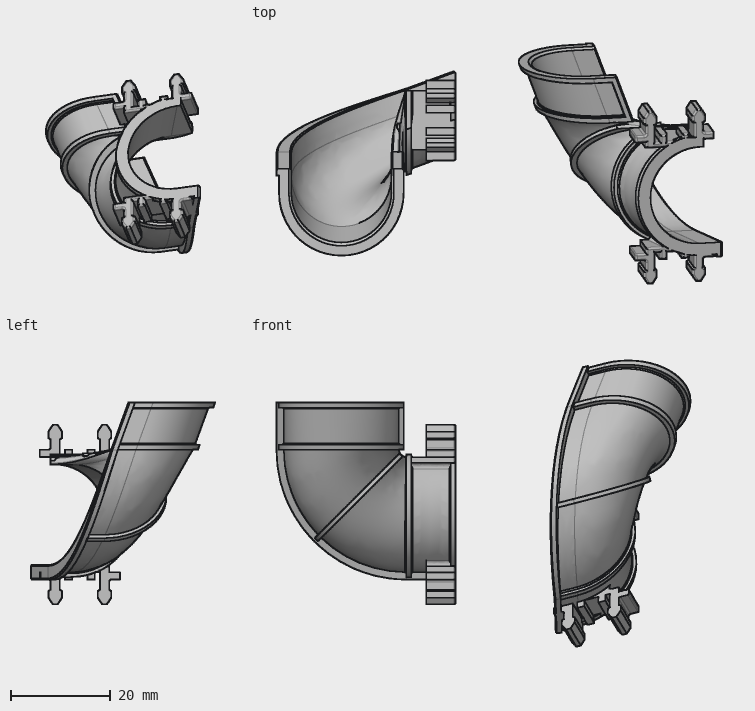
import cadquery as cq
import math


BORE_R = 10.02
WALL_R = 11.5
MID_WALL_R = (BORE_R + WALL_R) / 2
FLANGE_R = 12.5
RIM_R = 13.0
LEG = 4.9
RIM_WIDTH = 1.35
END_CHAMFER = 0.3
BORE_CHAMFER = 0.5
MOUTH_CORE_R = 0.4

BEND_R = RIM_R
TOP_Z = 22.43
END_X = 22.87
SLOPE = math.tan(math.radians(20))
BEND_RISE = 12.65
BEND_SECTIONS = 7
BEND_START_Y = SLOPE * (TOP_Z - BEND_R)
BEND_END_Y = BEND_START_Y + BEND_RISE

FLANGE_LENGTH = 1.0
FLANGE_ROOT = 0.25
FLANGE_TOP_Z = 12.05
BEND_FOOT = 0.35
END_CORNER = 0.4
RIB_THICKNESS = 0.9

CLIP_X = 16.97
CLIP_LENGTH = END_X - CLIP_X
CLIP_Y = 14.6
POST_OFFSET = 4.95
POST_WIDTH = 1.9
HEAD_WIDTH = 2.75
TIP_WIDTH = 0.95
NECK_Z = 15.0
HEAD_BOTTOM_Z = 15.3
HEAD_TOP_Z = 16.6
TIP_Z = 18.0
PAD_OFFSET = 2.25
PAD_WIDTH = 1.5
TAB_REACH = 8.05
CLIP_FILLET = 0.4
CLIP_BASE_Z = 10.35
TAB_FILLET = 0.2
POST_FILLET = 0.4
GUSSET_Z = 9.15
UPPER_LEG_CUT_X = 11.7
POST_EDGE = POST_OFFSET + POST_WIDTH / 2


def vertical_station(z):
    return (0, SLOPE * (TOP_Z - z), z, 0)


def bend_station(angle):
    x = BEND_R * (1 - math.cos(angle))
    z = BEND_R * (1 - math.sin(angle))
    return (x, BEND_START_Y + BEND_RISE * angle / (math.pi / 2), z, angle)


def horizontal_station(x):
    return (x, BEND_END_Y + SLOPE * (x - BEND_R), 0, math.pi / 2)


BEND_STATIONS = [
    bend_station(math.pi / 2 * i / (BEND_SECTIONS - 1)) for i in range(BEND_SECTIONS)
]


def section_wire(station, inner_r, outer_r, outer_rim=None, inner_rim=None, leg=LEG):
    """U-shaped ring at a station; a rim thickens the leg on the outside or inside of the bend."""
    x, y, z, angle = station

    def point(across, along):
        return cq.Vector(x - across * math.cos(angle), y + along, z - across * math.sin(angle))

    def leg_points(side, rim):
        """Points of one leg, from the centre of the U up the outside and back down the bore."""
        edge_r = rim or outer_r
        points = [(outer_r, 0)]
        if rim:
            points += [(outer_r, leg - RIM_WIDTH), (rim, leg - RIM_WIDTH)]
        points += [
            (edge_r, leg - END_CHAMFER),
            (edge_r - END_CHAMFER, leg),
            (inner_r + END_CHAMFER, leg),
            (inner_r, leg - END_CHAMFER),
            (inner_r, 0),
        ]
        return [point(side * across, along) for across, along in points]

    def lines(points):
        return [cq.Edge.makeLine(a, b) for a, b in zip(points, points[1:])]

    outer_leg = leg_points(1, outer_rim)
    inner_leg = leg_points(-1, inner_rim)[::-1]
    bore_arc = cq.Edge.makeThreePointArc(outer_leg[-1], point(0, -inner_r), inner_leg[0])
    outside_arc = cq.Edge.makeThreePointArc(inner_leg[-1], point(0, -outer_r), outer_leg[0])
    return cq.Wire.assembleEdges(lines(outer_leg) + [bore_arc] + lines(inner_leg) + [outside_arc])


def loft(wires):
    return cq.Workplane(cq.Solid.makeLoft(wires, len(wires) == 2))


def channel(stations, *radii, **options):
    return loft([section_wire(station, *radii, **options) for station in stations])


def flange(station_at, start, step):
    """Flange from start with its foot on the far side; step is +1 or -1 along the arm."""
    end = start + step * FLANGE_LENGTH
    ring = channel([station_at(start), station_at(end)], MID_WALL_R, FLANGE_R)
    foot = loft([
        section_wire(station_at(end), MID_WALL_R, WALL_R + FLANGE_ROOT),
        section_wire(station_at(end + step * FLANGE_ROOT), MID_WALL_R, WALL_R),
    ])
    return ring.union(foot)


def box(x0, x1, y0, y1, z0, z1):
    return cq.Workplane().box(x1 - x0, y1 - y0, z1 - z0, centered=False).translate((x0, y0, z0))


def vertical_arm():
    ends = [vertical_station(z) for z in (TOP_Z, BEND_R)]
    arm = channel(ends, BORE_R, WALL_R, outer_rim=RIM_R, inner_rim=FLANGE_R)
    arm = arm.union(flange(vertical_station, TOP_Z, -1))
    arm = arm.union(flange(vertical_station, BEND_R, 1))
    mouth = [
        section_wire(vertical_station(TOP_Z), MOUTH_CORE_R, BORE_R + BORE_CHAMFER, leg=2 * LEG),
        section_wire(vertical_station(TOP_Z - BORE_CHAMFER), MOUTH_CORE_R, BORE_R, leg=2 * LEG),
    ]
    return arm.cut(loft(mouth))


def bend():
    shell = channel(BEND_STATIONS, BORE_R, WALL_R, outer_rim=RIM_R)
    x, y, z, angle = bend_station(math.pi / 4)
    shift = RIB_THICKNESS / 2 * math.sin(angle)
    rib_faces = [(x + side * shift, y, z - side * shift, angle) for side in (-1, 1)]
    rib = channel(rib_faces, MID_WALL_R, FLANGE_R, leg=LEG - RIM_WIDTH / 2)
    hub = (
        cq.Workplane("XZ")
        .center(BEND_R, BEND_R)
        .circle(BEND_R - WALL_R)
        .extrude(2 * END_X, both=True)
    )
    return shell.union(rib.cut(hub))


def horizontal_arm():
    ends = [horizontal_station(x) for x in (BEND_R, END_X)]
    arm = channel(ends, BORE_R, WALL_R, outer_rim=RIM_R)
    arm = arm.union(flange(horizontal_station, BEND_R, 1))
    arm = arm.union(flange(horizontal_station, END_X, -1))
    bend_foot = loft([
        section_wire(horizontal_station(BEND_R - BEND_FOOT), MID_WALL_R, WALL_R),
        section_wire(horizontal_station(BEND_R), MID_WALL_R, WALL_R + FLANGE_ROOT),
    ])
    arm = arm.union(bend_foot)
    size = 2 * END_X
    arm = arm.cut(box(0, size, -size, size, FLANGE_TOP_Z, size))
    deck_start = BEND_R + FLANGE_LENGTH
    deck = box(deck_start, CLIP_X, CLIP_Y - POST_EDGE, CLIP_Y + POST_EDGE, CLIP_BASE_Z, WALL_R)
    arm = arm.union(deck).union(gusset(deck_start, END_X))
    corner_x = END_X - END_CORNER
    corner_y = horizontal_station(corner_x)[1] + LEG
    corner_points = [
        (corner_x, corner_y),
        (END_X, corner_y - END_CORNER),
        (END_X, size),
        (corner_x, size),
    ]
    corner = (
        cq.Workplane()
        .polyline(corner_points)
        .close()
        .extrude(-size)
    )
    return arm.cut(corner)


def gusset(start_x, end_x):
    """Concave filler between the pipe and the flat underside of an upper clip base."""
    sine = GUSSET_Z / WALL_R
    radius = (CLIP_BASE_Z - GUSSET_Z) / (1 + sine)
    cosine = math.sqrt(1 - sine ** 2)
    centre_y = -(WALL_R + radius) * cosine
    centre_z = CLIP_BASE_Z - radius
    middle_angle = (math.pi / 2 - math.asin(sine)) / 2
    middle_y = centre_y + radius * math.cos(middle_angle)
    middle_z = centre_z + radius * math.sin(middle_angle)
    foot_y = -WALL_R * cosine
    buried_y = -math.sqrt(WALL_R ** 2 - CLIP_BASE_Z ** 2)

    def outline(x):
        axis_y = horizontal_station(x)[1]
        foot, middle, top, buried_top, buried_foot = [
            cq.Vector(x, axis_y + y, z)
            for y, z in [
                (foot_y, GUSSET_Z),
                (middle_y, middle_z),
                (centre_y, CLIP_BASE_Z),
                (buried_y, CLIP_BASE_Z),
                (buried_y, GUSSET_Z),
            ]
        ]
        return cq.Wire.assembleEdges([
            cq.Edge.makeThreePointArc(foot, middle, top),
            cq.Edge.makeLine(top, buried_top),
            cq.Edge.makeLine(buried_top, buried_foot),
            cq.Edge.makeLine(buried_foot, foot),
        ])

    return loft([outline(start_x), outline(end_x)])


def clip_outline():
    """Half of the clip section in Y and Z, from the middle of the base out round one post."""
    post_inner = POST_OFFSET - POST_WIDTH / 2
    head = HEAD_WIDTH / 2
    tip = TIP_WIDTH / 2
    return [
        (0, CLIP_BASE_Z),
        (POST_EDGE, CLIP_BASE_Z),
        (POST_EDGE, WALL_R),
        (TAB_REACH, WALL_R),
        (TAB_REACH, RIM_R),
        (POST_EDGE, RIM_R),
        (POST_EDGE, NECK_Z),
        (POST_OFFSET + head, HEAD_BOTTOM_Z),
        (POST_OFFSET + head, HEAD_TOP_Z),
        (POST_OFFSET + tip, TIP_Z),
        (POST_OFFSET - tip, TIP_Z),
        (POST_OFFSET - head, HEAD_TOP_Z),
        (POST_OFFSET - head, HEAD_BOTTOM_Z),
        (post_inner, NECK_Z),
        (post_inner, WALL_R),
        (PAD_OFFSET + PAD_WIDTH / 2, WALL_R),
        (PAD_OFFSET + PAD_WIDTH / 2, RIM_R),
        (PAD_OFFSET - PAD_WIDTH / 2, RIM_R),
        (PAD_OFFSET - PAD_WIDTH / 2, WALL_R),
        (0, WALL_R),
    ]


def clip():
    half = (
        cq.Workplane("YZ")
        .polyline(clip_outline())
        .close()
        .extrude(CLIP_LENGTH)
    )
    half = half.edges("|X").edges(">Y").fillet(TAB_FILLET)
    tab_root = cq.NearestToPointSelector((CLIP_LENGTH / 2, POST_EDGE, RIM_R))
    half = half.edges(tab_root).fillet(POST_FILLET)
    whole = half.union(half.mirror("XZ"))
    return whole.faces(">X").edges().fillet(CLIP_FILLET).translate((CLIP_X, CLIP_Y, 0))


upper_leg_trim = box(UPPER_LEG_CUT_X, 2 * END_X, CLIP_Y + POST_EDGE, 2 * END_X, 0, RIM_R)
upper_clip = clip()
lower_clip = upper_clip.mirror("XY").union(gusset(CLIP_X, END_X).mirror("XY"))
result = (
    vertical_arm()
    .union(bend(), clean=False)
    .union(horizontal_arm(), clean=False)
    .cut(upper_leg_trim, clean=False)
    .union(upper_clip, clean=False)
    .union(lower_clip)
)